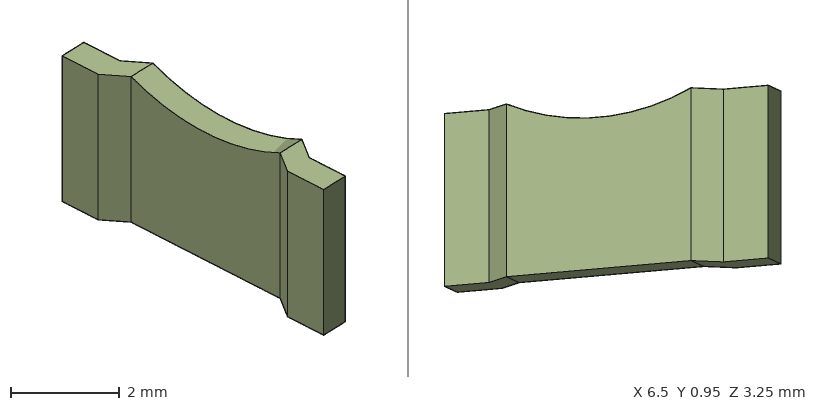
import cadquery as cq

length = 6.5
height = 3.25
total_depth = 0.95
thickness = 0.6
offset = total_depth - thickness

foot_length = 0.9
slope_length = 0.5
web_half = length / 2 - foot_length - slope_length
bend_x = web_half + slope_length
end_x = length / 2

arc_depth = 0.4


def make_web():
    """Flat middle plate whose top edge dips in a circular arc."""
    return (
        cq.Workplane("XZ", origin=(0, offset + thickness, 0))
        .moveTo(-web_half, 0)
        .lineTo(web_half, 0)
        .lineTo(web_half, height)
        .threePointArc((0, height - arc_depth), (-web_half, height))
        .close()
        .extrude(thickness)
    )


def make_end_leg(side):
    """Sloped strip and flat foot; side is -1 for the -X end, 1 for the +X end."""
    return (
        cq.Workplane("XY")
        .polyline([
            (side * web_half, offset),
            (side * bend_x, 0),
            (side * end_x, 0),
            (side * end_x, thickness),
            (side * bend_x, thickness),
            (side * web_half, offset + thickness),
        ])
        .close()
        .extrude(height)
    )


web = make_web()
end_legs = [make_end_leg(side) for side in (-1, 1)]

result = cq.Compound.makeCompound([web.val(), *[leg.val() for leg in end_legs]])